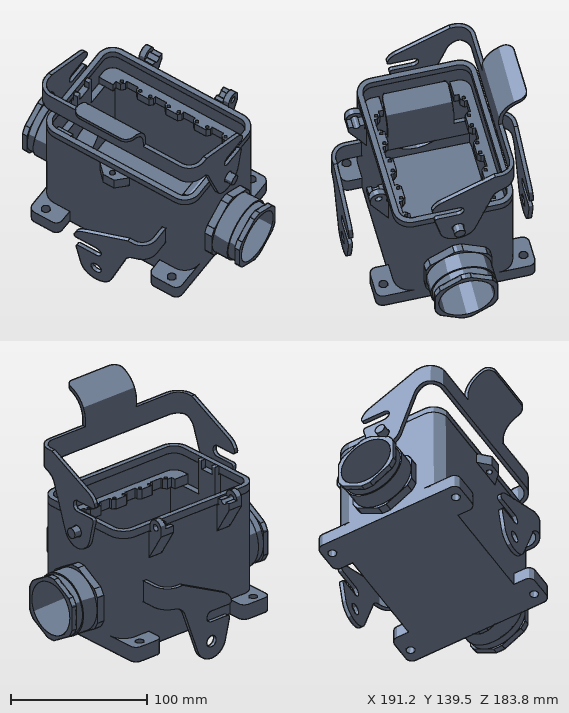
import cadquery as cq
import math

HOUSING_LENGTH = 132.0
HOUSING_WIDTH = 90.2
HOUSING_HEIGHT = 100.0
WALL = 4.2
CORNER_RADIUS = 12.8
FLOOR = WALL
SEAL_HEIGHT = 6.0
SEAL_BASE = HOUSING_HEIGHT - SEAL_HEIGHT
CAVITY_LENGTH = HOUSING_LENGTH - 2 * WALL
CAVITY_WIDTH = HOUSING_WIDTH - 2 * WALL
CAVITY_RADIUS = CORNER_RADIUS - WALL

SHELF_TOP = HOUSING_HEIGHT - 19.7
SHELF_THICKNESS = 7.8
SHELF_BOTTOM = SHELF_TOP - SHELF_THICKNESS
END_GAP_WIDTH = 53.5
BOSS_GAP_LENGTH = 98.3
BOSS_GAP_WIDTH = 60.8
POCKET_GAP_WIDTH = 70.0
POCKET_LENGTH = 10.0
POCKET_PITCH = 25.0
POCKET_COUNT = 4
BOSS_CHAMFER = 2.5
SCREW_HOLE_DIAMETER = 2.5
SCREW_HOLE_OFFSET = 8.0
SCREW_HOLE_Y = 33.0
END_WALL_THICKENING = 5.2

CLIP_WIDTH = 18.7
CLIP_POST_GAP = 1.5
CLIP_POST_WIDTH = 3.6
CLIP_TOP = HOUSING_HEIGHT + 1.1
CLIP_ROUNDING = 0.5

FOOT_LENGTH = 26.4
FEET_WIDTH = 120.5
FOOT_HEIGHT = 12.0
FOOT_RADIUS = 5.4
FOOT_HOLE_DIAMETER = 6.5
FOOT_HOLE_X = 55.5
FOOT_HOLE_Y = 53.0

GLAND_Z = 32.1
GLAND_BORE = 42.0
HEXAGON_SIDES = 6
HEXAGON_HALF_ANGLE = 180 / HEXAGON_SIDES
NUT_FLATS = 50.0
NUT_ROUND = 54.3
NUT_END_X = 72.3
BODY_DIAMETER = 49.3
BODY_END_X = 85.5
NECK_DIAMETER = 47.0
NECK_END_X = 91.4
CAP_FLATS = 47.0
CAP_ROUND = 50.7
GLAND_END_X = 95.6

LUG_BASE_LENGTH = 26.0
LUG_TIP_LENGTH = 9.5
LUG_DEPTH = 8.0
LUG_HEIGHT = 9.8
LUG_HOLE_DIAMETER = 4.2
LUG_HOLE_DISTANCE = 3.0

EAR_Y = 52.4
EAR_Z = 99.5
EAR_RADIUS = 6.1
EAR_HOLE_DIAMETER = 5.2
EAR_FOOT_Z = 72.3
EAR_INNER_X = 27.2
EAR_STEP_X = 34.6
EAR_OUTER_X = 39.4

LEVER_PIN_Z = 87.2
LEVER_PIN_DIAMETER = 8.0
LEVER_PIN_END_X = 75.7
LEVER_HOLE_DIAMETER = 9.0
LEVER_WIDTH = 139.5
LEVER_SHEET = 3.0
LEVER_REACH = 45.0
LEVER_BEND_RADIUS = 12.8
LEVER_EYE_RADIUS = 14.0
LEVER_TOP = 55.0
LEVER_WEB_BOTTOM = 37.9
LEVER_SLOT_Z = 20.5
LEVER_SLOT_RADIUS = 4.4
LEVER_SIDE_FILLET = 11.9
LEVER_EYE_END_ANGLES = (-20, 195)

HOOK_RAMP_TOP_REACH = 28.1
HOOK_RAMP_FOOT = (-12.8, 35.5)
HOOK_BROW = (-16.8, 32.3)
HOOK_NOSE = (-19.3, 28.0)
HOOK_CHIN = (-19.1, 25.8)
HOOK_UNDERSIDE_REACH = -17.5
JAW_TOP_REACH = -15.3
JAW_ROUND = (-17.2, 15.1)
JAW_SIDE = (-17.5, 13.2)

TAB_WIDTH = 50.0
TAB_BASE_TOP = 59.8
TAB_BEND_RADIUS = 22.8
TAB_CORNER_RADIUS = 7.5


def centred_box(length, width, bottom, top):
    return cq.Workplane("XY", origin=(0, 0, bottom)).rect(length, width).extrude(top - bottom)


def rounded_block(length, width, radius, bottom, top):
    return centred_box(length, width, bottom, top).edges("|Z").fillet(radius)


def both_ends(shape):
    """The shape together with its mirror image in the YZ plane."""
    return shape.union(shape.mirror("YZ"))


def lever_side_outline():
    """Side outline of a lever in (reach, height), measured from its pivot."""
    slot_top = LEVER_SLOT_Z + LEVER_SLOT_RADIUS
    slot_bottom = LEVER_SLOT_Z - LEVER_SLOT_RADIUS
    eye_right, eye_left = [
        (LEVER_EYE_RADIUS * math.cos(math.radians(angle)), LEVER_EYE_RADIUS * math.sin(math.radians(angle)))
        for angle in LEVER_EYE_END_ANGLES
    ]

    turn = math.radians(90 + LEVER_EYE_END_ANGLES[0])
    corner_reach = eye_right[0] + (LEVER_WEB_BOTTOM - eye_right[1]) / math.tan(turn)
    trim = LEVER_SIDE_FILLET * math.tan(turn / 2)
    blend_start = (corner_reach - trim * math.cos(turn), LEVER_WEB_BOTTOM - trim * math.sin(turn))
    blend_end = (corner_reach + trim, LEVER_WEB_BOTTOM)
    blend_middle = (
        blend_end[0] - LEVER_SIDE_FILLET * math.sin(turn / 2),
        LEVER_WEB_BOTTOM - LEVER_SIDE_FILLET * (1 - math.cos(turn / 2)),
    )
    return (
        cq.Workplane("YZ")
        .moveTo(*eye_right)
        .lineTo(*blend_start)
        .threePointArc(blend_middle, blend_end)
        .lineTo(LEVER_REACH, LEVER_WEB_BOTTOM)
        .lineTo(LEVER_REACH, LEVER_TOP)
        .lineTo(HOOK_RAMP_TOP_REACH, LEVER_TOP)
        .lineTo(*HOOK_RAMP_FOOT)
        .threePointArc(HOOK_BROW, HOOK_NOSE)
        .threePointArc(HOOK_CHIN, (HOOK_UNDERSIDE_REACH, slot_top))
        .lineTo(0, slot_top)
        .threePointArc((LEVER_SLOT_RADIUS, LEVER_SLOT_Z), (0, slot_bottom))
        .lineTo(JAW_TOP_REACH, slot_bottom)
        .threePointArc(JAW_ROUND, JAW_SIDE)
        .lineTo(*eye_left)
        .threePointArc((0, -LEVER_EYE_RADIUS), eye_right)
        .close()
    )


def lever_tab():
    """Curled thumb tab that rises from the middle of the web."""
    web_back = LEVER_REACH - LEVER_SHEET
    inner_radius = TAB_BEND_RADIUS - LEVER_SHEET
    tip = web_back + TAB_BEND_RADIUS
    diagonal = math.sqrt(0.5)
    curl = (
        cq.Workplane("YZ")
        .moveTo(web_back, LEVER_WEB_BOTTOM)
        .lineTo(web_back, TAB_BASE_TOP)
        .threePointArc(
            (tip - TAB_BEND_RADIUS * diagonal, TAB_BASE_TOP + TAB_BEND_RADIUS * diagonal),
            (tip, TAB_BASE_TOP + TAB_BEND_RADIUS),
        )
        .lineTo(tip, TAB_BASE_TOP + inner_radius)
        .threePointArc(
            (tip - inner_radius * diagonal, TAB_BASE_TOP + inner_radius * diagonal),
            (LEVER_REACH, TAB_BASE_TOP),
        )
        .lineTo(LEVER_REACH, LEVER_WEB_BOTTOM)
        .close()
        .extrude(TAB_WIDTH / 2, both=True)
    )
    plan = (
        cq.Workplane("XY")
        .rect(TAB_WIDTH, 2 * tip)
        .extrude(TAB_BASE_TOP + TAB_BEND_RADIUS)
        .edges("|Z")
        .fillet(TAB_CORNER_RADIUS)
    )
    return curl.intersect(plan)


def lever():
    """Bent sheet lever with its pivot axis on X and its web on the +Y side."""
    bottom = -LEVER_EYE_RADIUS
    outside = rounded_block(LEVER_WIDTH, 2 * LEVER_REACH, LEVER_BEND_RADIUS, bottom, LEVER_TOP)
    inside = rounded_block(
        LEVER_WIDTH - 2 * LEVER_SHEET,
        2 * (LEVER_REACH - LEVER_SHEET),
        LEVER_BEND_RADIUS - LEVER_SHEET,
        bottom,
        LEVER_TOP,
    )
    side = lever_side_outline().extrude(LEVER_WIDTH / 2, both=True)
    pivot_hole = cq.Workplane("YZ").circle(LEVER_HOLE_DIAMETER / 2).extrude(LEVER_WIDTH / 2, both=True)
    return outside.cut(inside).intersect(side).cut(pivot_hole).union(lever_tab())


def placed_lever(turn, pivot_z):
    return lever().rotate((0, 0, 0), (0, 0, 1), turn).translate((0, 0, pivot_z))


def feet():
    foot = (
        cq.Workplane("XY")
        .center((HOUSING_LENGTH - FOOT_LENGTH) / 2, 0)
        .rect(FOOT_LENGTH, FEET_WIDTH)
        .extrude(FOOT_HEIGHT)
        .edges("|Z")
        .fillet(FOOT_RADIUS)
        .cut(
            cq.Workplane("XY")
            .pushPoints([(FOOT_HOLE_X, -FOOT_HOLE_Y), (FOOT_HOLE_X, FOOT_HOLE_Y)])
            .circle(FOOT_HOLE_DIAMETER / 2)
            .extrude(FOOT_HEIGHT)
        )
    )
    return both_ends(foot)


def cavity():
    lower_length = CAVITY_LENGTH - 2 * END_WALL_THICKENING
    full = rounded_block(CAVITY_LENGTH, CAVITY_WIDTH, CAVITY_RADIUS, FLOOR, SEAL_BASE)
    upper_part = centred_box(CAVITY_LENGTH, CAVITY_WIDTH, SHELF_BOTTOM, SEAL_BASE)
    lower_part = centred_box(lower_length, CAVITY_WIDTH, FLOOR, SHELF_BOTTOM)
    return full.intersect(upper_part.union(lower_part))


def pocket_centres():
    return [(i - (POCKET_COUNT - 1) / 2) * POCKET_PITCH for i in range(POCKET_COUNT)]


def shelf_opening():
    """Opening in the shelf, with chamfered pockets between the screw bosses."""
    opening = centred_box(CAVITY_LENGTH, END_GAP_WIDTH, SHELF_BOTTOM, SHELF_TOP).union(
        centred_box(BOSS_GAP_LENGTH, BOSS_GAP_WIDTH, SHELF_BOTTOM, SHELF_TOP)
    )
    half = POCKET_LENGTH / 2
    boss_y = BOSS_GAP_WIDTH / 2
    for x in pocket_centres():
        pocket = (
            cq.Workplane("XY", origin=(x, 0, SHELF_BOTTOM))
            .moveTo(-half - BOSS_CHAMFER, 0)
            .lineTo(-half - BOSS_CHAMFER, boss_y)
            .lineTo(-half, boss_y + BOSS_CHAMFER)
            .lineTo(-half, POCKET_GAP_WIDTH / 2)
            .lineTo(half, POCKET_GAP_WIDTH / 2)
            .lineTo(half, boss_y + BOSS_CHAMFER)
            .lineTo(half + BOSS_CHAMFER, boss_y)
            .lineTo(half + BOSS_CHAMFER, 0)
            .close()
            .extrude(SHELF_THICKNESS)
        )
        opening = opening.union(pocket).union(pocket.mirror("XZ"))
    return opening


def shelf():
    slab = rounded_block(CAVITY_LENGTH, CAVITY_WIDTH, CAVITY_RADIUS, SHELF_BOTTOM, SHELF_TOP)
    hole_points = [
        (x + side * SCREW_HOLE_OFFSET, row * SCREW_HOLE_Y)
        for x in pocket_centres()
        for side in (-1, 1)
        for row in (-1, 1)
    ]
    holes = (
        cq.Workplane("XY", origin=(0, 0, SHELF_BOTTOM))
        .pushPoints(hole_points)
        .circle(SCREW_HOLE_DIAMETER / 2)
        .extrude(SHELF_THICKNESS)
    )
    return slab.cut(shelf_opening()).cut(holes)


def earth_clip():
    """Block on the -X end wall with two posts standing clear of the seal."""
    wall_x = -CAVITY_LENGTH / 2
    post_x = wall_x + CLIP_POST_GAP
    post_depth = END_WALL_THICKENING - CLIP_POST_GAP
    post_y = (CLIP_WIDTH - CLIP_POST_WIDTH) / 2
    clip = (
        cq.Workplane("XY")
        .box(END_WALL_THICKENING, CLIP_WIDTH, SEAL_BASE - SHELF_BOTTOM, centered=(False, True, False))
        .translate((wall_x, 0, SHELF_BOTTOM))
    )
    for side in (-1, 1):
        post = (
            cq.Workplane("XY")
            .box(post_depth, CLIP_POST_WIDTH, CLIP_TOP - SHELF_BOTTOM, centered=(False, True, False))
            .edges(">X and >Z")
            .fillet(CLIP_ROUNDING)
            .translate((post_x, side * post_y, SHELF_BOTTOM))
        )
        clip = clip.union(post)
    return clip


def cylinder_x(diameter, start, end, z):
    return cq.Workplane("YZ", origin=(start, 0, z)).circle(diameter / 2).extrude(end - start)


def rounded_hexagon(flats, corner_diameter, start, end):
    """Hexagon with flats facing Y, its corners turned down to a diameter."""
    hexagon = (
        cq.Workplane("YZ", origin=(start, 0, GLAND_Z))
        .polygon(HEXAGON_SIDES, flats / math.cos(math.radians(HEXAGON_HALF_ANGLE)))
        .extrude(end - start)
        .rotate((0, 0, GLAND_Z), (1, 0, GLAND_Z), HEXAGON_HALF_ANGLE)
    )
    return hexagon.intersect(cylinder_x(corner_diameter, start, end, GLAND_Z))


def glands():
    gland = (
        rounded_hexagon(NUT_FLATS, NUT_ROUND, HOUSING_LENGTH / 2, NUT_END_X)
        .union(cylinder_x(BODY_DIAMETER, NUT_END_X, BODY_END_X, GLAND_Z))
        .union(cylinder_x(NECK_DIAMETER, BODY_END_X, NECK_END_X, GLAND_Z))
        .union(rounded_hexagon(CAP_FLATS, CAP_ROUND, NECK_END_X, GLAND_END_X))
    )
    return both_ends(gland)


def lug():
    wall_y = -HOUSING_WIDTH / 2
    return (
        cq.Workplane("XY", origin=(0, wall_y, SEAL_BASE - LUG_HEIGHT))
        .moveTo(-LUG_BASE_LENGTH / 2, 0)
        .lineTo(-LUG_TIP_LENGTH / 2, -LUG_DEPTH)
        .lineTo(LUG_TIP_LENGTH / 2, -LUG_DEPTH)
        .lineTo(LUG_BASE_LENGTH / 2, 0)
        .close()
        .extrude(LUG_HEIGHT)
        .cut(
            cq.Workplane("XY", origin=(0, wall_y - LUG_HOLE_DISTANCE, SEAL_BASE - LUG_HEIGHT))
            .circle(LUG_HOLE_DIAMETER / 2)
            .extrude(LUG_HEIGHT)
        )
    )


def hinge_ears():
    """Ears with a full eye on the outside and a half-round cradle on the inside."""
    wall_y = HOUSING_WIDTH / 2
    length = EAR_OUTER_X - EAR_INNER_X
    ear = (
        cq.Workplane("YZ", origin=(EAR_INNER_X, 0, 0))
        .moveTo(wall_y, EAR_FOOT_Z)
        .lineTo(EAR_Y + EAR_RADIUS, SEAL_BASE)
        .lineTo(EAR_Y + EAR_RADIUS, EAR_Z)
        .threePointArc((EAR_Y, EAR_Z + EAR_RADIUS), (EAR_Y - EAR_RADIUS, EAR_Z))
        .lineTo(EAR_Y - EAR_RADIUS, SEAL_BASE)
        .lineTo(wall_y, SEAL_BASE)
        .close()
        .extrude(length)
    )
    hole = (
        cq.Workplane("YZ", origin=(EAR_INNER_X, EAR_Y, EAR_Z))
        .circle(EAR_HOLE_DIAMETER / 2)
        .extrude(length)
    )
    cradle_clearance = (
        cq.Workplane("XY")
        .box(EAR_STEP_X - EAR_INNER_X, 2 * EAR_RADIUS, EAR_RADIUS, centered=(False, True, False))
        .translate((EAR_INNER_X, EAR_Y, EAR_Z))
    )
    return both_ends(ear.cut(hole).cut(cradle_clearance))


def housing_body():
    shell = rounded_block(HOUSING_LENGTH, HOUSING_WIDTH, CORNER_RADIUS, 0, SEAL_BASE).union(feet())
    pins = both_ends(cylinder_x(LEVER_PIN_DIAMETER, HOUSING_LENGTH / 2, LEVER_PIN_END_X, LEVER_PIN_Z))
    return (
        shell.cut(cavity())
        .union(shelf())
        .union(glands())
        .cut(cylinder_x(GLAND_BORE, -GLAND_END_X, GLAND_END_X, GLAND_Z))
        .union(earth_clip())
        .union(pins)
        .union(lug())
        .union(hinge_ears())
    )


def seal_ring():
    outside = rounded_block(HOUSING_LENGTH, HOUSING_WIDTH, CORNER_RADIUS, SEAL_BASE, HOUSING_HEIGHT)
    inside = rounded_block(CAVITY_LENGTH, CAVITY_WIDTH, CAVITY_RADIUS, SEAL_BASE, HOUSING_HEIGHT)
    return outside.cut(inside)


upper_lever = placed_lever(180, LEVER_PIN_Z)
lower_lever = placed_lever(-90, 0)
seal = seal_ring()
housing = housing_body().cut(lower_lever)

result = cq.Compound.makeCompound([housing.val(), seal.val(), upper_lever.val(), lower_lever.val()])